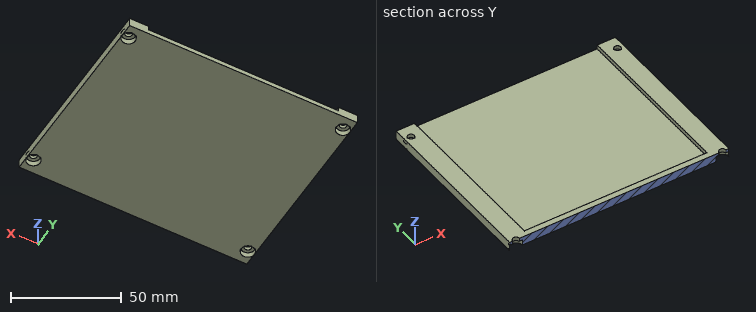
import cadquery as cq

length = 119.0
width = 100.2
thickness = 5.0

border = 10.0
recess_depth = 2.3

hole_diameter = 3.5
counterbore_radius = 3.5
counterbore_depth = 3.0
counterbore_wall = 0.05
hole_inset_x = counterbore_radius + counterbore_wall
hole_inset_y = 7.0


def make_plate():
    return cq.Workplane("XY").box(length, width, thickness, centered=(True, True, False))


def make_recess():
    return (
        cq.Workplane("XY")
        .box(length - 2 * border, width - border, recess_depth, centered=(True, True, False))
        .translate((0, border / 2, thickness - recess_depth))
    )


def make_screw_holes():
    corners = cq.Workplane("XY").rect(
        length - 2 * hole_inset_x, width - 2 * hole_inset_y, forConstruction=True
    ).vertices()
    shanks = corners.circle(hole_diameter / 2).extrude(thickness)
    counterbores = corners.circle(counterbore_radius).extrude(counterbore_depth)
    return shanks.union(counterbores)


result = make_plate().cut(make_recess()).cut(make_screw_holes())